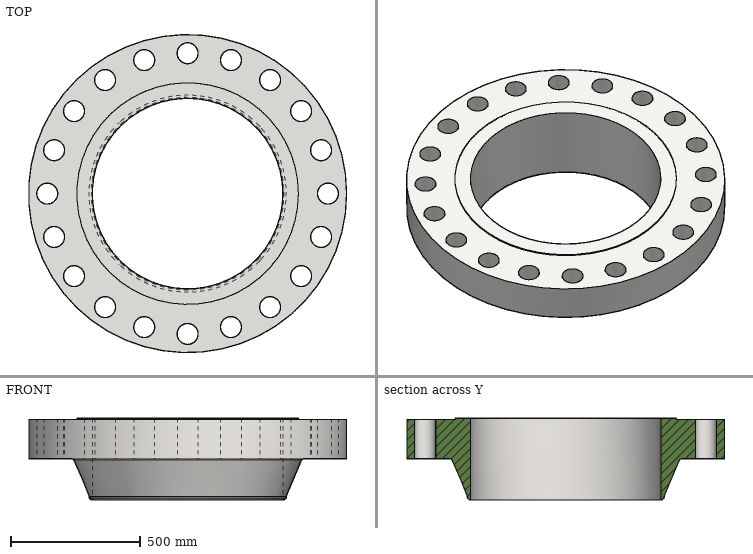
import cadquery as cq

flange_diameter = 1232.0
total_height = 318.0
bore_diameter = 737.0

face_diameter = 857.0
face_height = 5.0
flange_thickness = 153.0

hub_top_diameter = 887.0
hub_fillet = 12.0
weld_end_diameter = 764.0
weld_end_height = 15.0
bevel_width = 9.0
bevel_height = 9.0

bolt_count = 20
bolt_circle_diameter = 1087.0
bolt_hole_diameter = 80.0

flange_top = total_height - face_height
flange_bottom = flange_top - flange_thickness


def make_body():
    """Revolve the half section of flange, hub and bore about Z."""
    bore_radius = bore_diameter / 2
    weld_radius = weld_end_diameter / 2
    return (
        cq.Workplane("XZ")
        .moveTo(bore_radius, 0)
        .lineTo(weld_radius - bevel_width, 0)
        .lineTo(weld_radius, bevel_height)
        .lineTo(weld_radius, weld_end_height)
        .lineTo(hub_top_diameter / 2, flange_bottom)
        .lineTo(flange_diameter / 2, flange_bottom)
        .lineTo(flange_diameter / 2, flange_top)
        .lineTo(face_diameter / 2, flange_top)
        .lineTo(face_diameter / 2, total_height)
        .lineTo(bore_radius, total_height)
        .close()
        .revolve(360, (0, 0, 0), (0, 1, 0))
    )


def round_hub_root(body):
    """Fillet the corner where the hub meets the underside of the flange."""
    tolerance = 1.0
    reach = hub_top_diameter / 2 + tolerance
    root_zone = cq.selectors.BoxSelector(
        (-reach, -reach, flange_bottom - tolerance),
        (reach, reach, flange_bottom + tolerance),
        boundingbox=True,
    )
    return body.edges(root_zone).fillet(hub_fillet)


def make_bolt_holes():
    """Bolt hole cutters, the first one on the +X axis."""
    return (
        cq.Workplane("XY")
        .polarArray(bolt_circle_diameter / 2, 0, 360, bolt_count)
        .circle(bolt_hole_diameter / 2)
        .extrude(total_height)
    )


result = round_hub_root(make_body()).cut(make_bolt_holes())